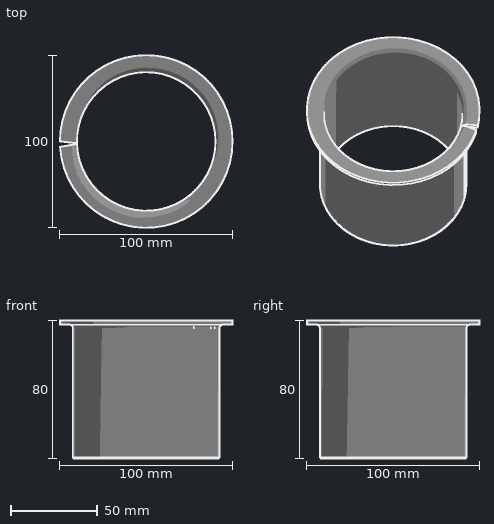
import cadquery as cq
import math

height = 80.0
flange_radius = 50.0
bore_radius = 40.0
wall = 2.5
outer_bend_radius = 2.0
end_chamfer = 0.7

gap_at_bore = 0.2
gap_at_rim = 3.1

tube_radius = bore_radius + wall
inner_bend_radius = outer_bend_radius + wall
bend_center_radius = tube_radius + outer_bend_radius
bend_center_z = height - inner_bend_radius
flange_bottom_z = height - wall


def bend_point(radius):
    """Midpoint of a quarter-circle bend between the tube and the flange."""
    offset = radius * math.sqrt(0.5)
    return (bend_center_radius - offset, bend_center_z + offset)


def flanged_tube():
    """Wall section with concentric bends, revolved about Z."""
    return (
        cq.Workplane("XZ")
        .moveTo(bore_radius, 0)
        .lineTo(tube_radius - end_chamfer, 0)
        .lineTo(tube_radius, end_chamfer)
        .lineTo(tube_radius, bend_center_z)
        .threePointArc(bend_point(outer_bend_radius), (bend_center_radius, flange_bottom_z))
        .lineTo(flange_radius, flange_bottom_z)
        .lineTo(flange_radius, height)
        .lineTo(bend_center_radius, height)
        .threePointArc(bend_point(inner_bend_radius), (bore_radius, bend_center_z))
        .close()
        .revolve(360, (0, 0), (0, 1))
    )


def split_cutter():
    """Full-height wedge on the -X side; its +Y face meets the flange rim at Y = 0."""
    taper = (gap_at_rim - gap_at_bore) / (flange_radius - bore_radius) / 2
    apex_radius = bore_radius - gap_at_bore / 2 / taper
    end_radius = flange_radius + wall
    end_half_gap = (end_radius - apex_radius) * taper
    rim_angle = math.degrees(math.asin(gap_at_rim / 2 / flange_radius))
    return (
        cq.Workplane("XY")
        .polyline([(-apex_radius, 0), (-end_radius, end_half_gap), (-end_radius, -end_half_gap)])
        .close()
        .extrude(height)
        .rotate((0, 0, 0), (0, 0, 1), rim_angle)
    )


result = flanged_tube().cut(split_cutter())